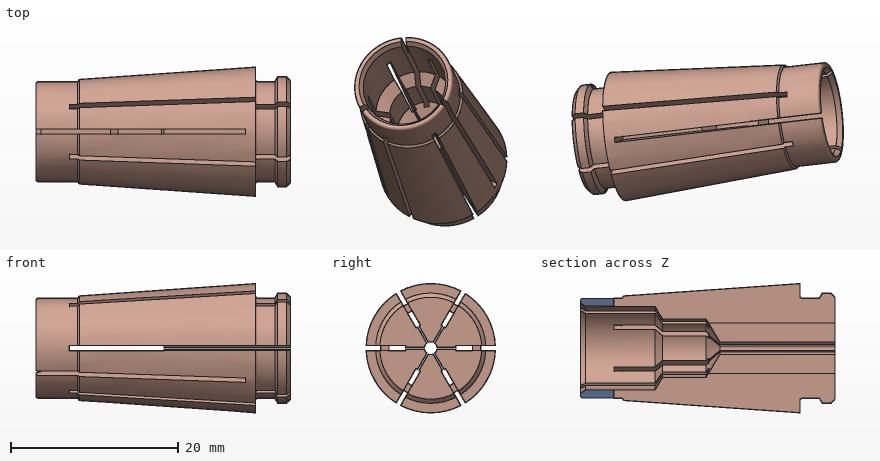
import cadquery as cq
import math

total_length = 30.5

tail_radius = 6.0
tail_edge_fillet = 0.3
taper_lead_start = 5.0
taper_start = 5.2
taper_end = 26.3
taper_end_radius = 7.75
taper_angle = 4.0
taper_start_radius = taper_end_radius - (taper_end - taper_start) * math.tan(math.radians(taper_angle))
neck_radius = 6.0
neck_fillet = 0.3
collar_start = 28.6
collar_radius = 6.6
collar_lead_length = 0.35
nose_chamfer = 0.5

entry_radius = 5.4
entry_length = 0.6
large_bore_radius = 5.0
large_bore_depth = 8.95
medium_bore_radius = 3.5
medium_bore_depth = 15.05
pilot_radius = 0.75
drill_point_angle = 118.0

slot_width = 0.6
slit_width = 0.2
slot_floor_radius = 3.0
nose_slot_count = 6
nose_slot_start = 4.0
tail_slot_count = 3
tail_slot_end = 25.1
tail_slot_first_angle = 90.0
cutter_clearance = 1.0
slot_outer_radius = taper_end_radius + cutter_clearance


def drill_cone_length(outer_radius, inner_radius):
    """Axial length of the drill-point cone between two radii."""
    return (outer_radius - inner_radius) / math.tan(math.radians(drill_point_angle / 2))


def revolve_about_x(outline):
    """Revolve a closed (x, radius) outline about the collet axis."""
    return outline.revolve(360, (0, 0, 0), (1, 0, 0))


def make_outer_body():
    outline = (
        cq.Workplane("XY")
        .lineTo(0, tail_radius - tail_edge_fillet)
        .radiusArc((tail_edge_fillet, tail_radius), tail_edge_fillet)
        .lineTo(taper_lead_start, tail_radius)
        .lineTo(taper_start, taper_start_radius)
        .lineTo(taper_end, taper_end_radius)
        .lineTo(taper_end, neck_radius + neck_fillet)
        .radiusArc((taper_end + neck_fillet, neck_radius), -neck_fillet)
        .lineTo(collar_start, neck_radius)
        .lineTo(collar_start + collar_lead_length, collar_radius)
        .lineTo(total_length - nose_chamfer, collar_radius)
        .lineTo(total_length, collar_radius - nose_chamfer)
        .lineTo(total_length, 0)
        .close()
    )
    return revolve_about_x(outline)


def make_bore():
    medium_bore_start = large_bore_depth + drill_cone_length(large_bore_radius, medium_bore_radius)
    pilot_start = medium_bore_depth + drill_cone_length(medium_bore_radius, pilot_radius)
    points = [
        (0, 0),
        (0, entry_radius),
        (entry_length, large_bore_radius),
        (large_bore_depth, large_bore_radius),
        (medium_bore_start, medium_bore_radius),
        (medium_bore_depth, medium_bore_radius),
        (pilot_start, pilot_radius),
        (total_length, pilot_radius),
        (total_length, 0),
    ]
    return revolve_about_x(cq.Workplane("XY").polyline(points).close())


def make_radial_slot(x_start, x_end, floor_radius, width, angle):
    """Flat-floored slot cutter; angle is measured from +Y toward +Z."""
    slot = cq.Workplane("XY").box(
        x_end - x_start, slot_outer_radius - floor_radius, width, centered=(False, False, True)
    )
    return slot.translate((x_start, floor_radius, 0)).rotate((0, 0, 0), (1, 0, 0), angle)


def cut_nose_slots(body):
    """Cut slots from the nose, each continuing to the pilot bore as a narrow slit."""
    for index in range(nose_slot_count):
        angle = index * 360 / nose_slot_count
        slot = make_radial_slot(nose_slot_start, total_length, slot_floor_radius, slot_width, angle)
        slit = make_radial_slot(nose_slot_start, total_length, 0, slit_width, angle)
        body = body.cut(slot).cut(slit)
    return body


def cut_tail_slots(body):
    """Cut slots from the tail, midway between nose slots and stopping short of the neck."""
    for index in range(tail_slot_count):
        angle = tail_slot_first_angle + index * 360 / tail_slot_count
        slot = make_radial_slot(0, tail_slot_end, slot_floor_radius, slot_width, angle)
        body = body.cut(slot)
    return body


body = make_outer_body().cut(make_bore())
body = cut_nose_slots(body)
result = cut_tail_slots(body)